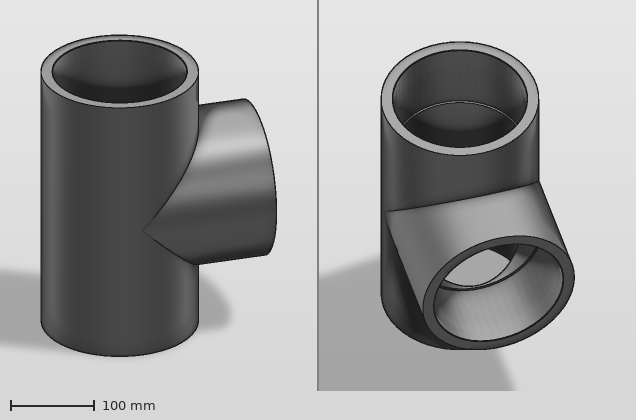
import cadquery as cq

run_length = 334.0
reach = run_length / 2
outer_diameter = 188.0
socket_diameter = 160.0
bore_diameter = 154.0
socket_depth = 87.0
lead_in = 0.7


def arm_cylinder(direction, diameter, start, end):
    """Round bar along an arm, between two distances from the tee centre."""
    axis = cq.Vector(*direction)
    return cq.Workplane(cq.Solid.makeCylinder(diameter / 2, end - start, axis * start, axis))


def tee(diameter):
    """Run and branch of equal diameter, joined at the centre."""
    run = arm_cylinder((0, 0, 1), diameter, -reach, reach)
    branch = arm_cylinder((0, 1, 0), diameter, 0, reach)
    return run.union(branch)


result = tee(outer_diameter).cut(tee(bore_diameter))

for mouth_direction in [(0, 0, 1), (0, 0, -1), (0, 1, 0)]:
    socket = arm_cylinder(mouth_direction, socket_diameter, reach - socket_depth, reach)
    rim_cone = cq.Solid.makeCone(
        socket_diameter / 2,
        socket_diameter / 2 + lead_in,
        lead_in,
        cq.Vector(*mouth_direction) * (reach - lead_in),
        cq.Vector(*mouth_direction),
    )
    result = result.cut(socket).cut(cq.Workplane(rim_cone))